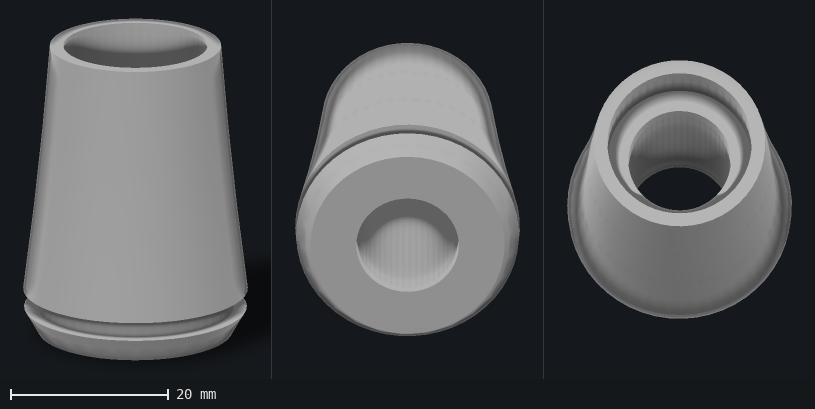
import cadquery as cq

total_height = 38.0
flange_height = 3.2
groove_height = 2.4
counterbore_depth = 9.0

body_base_diameter = 28.5
body_middle_diameter = 24.62
body_top_diameter = 21.75
groove_diameter = 25.08
flange_base_diameter = 24.62
flange_rim_diameter = 28.27
counterbore_diameter = 18.3
bore_diameter = 13.0

body_base_z = flange_height + groove_height
body_middle_z = (body_base_z + total_height) / 2
counterbore_floor_z = total_height - counterbore_depth


def revolved_sleeve():
    """Revolve the stepped wall section: conical flange, groove and hollow-curved taper."""
    section = (
        cq.Workplane("XZ")
        .moveTo(bore_diameter / 2, 0)
        .lineTo(flange_base_diameter / 2, 0)
        .lineTo(flange_rim_diameter / 2, flange_height)
        .lineTo(groove_diameter / 2, flange_height)
        .lineTo(groove_diameter / 2, body_base_z)
        .lineTo(body_base_diameter / 2, body_base_z)
        .threePointArc(
            (body_middle_diameter / 2, body_middle_z),
            (body_top_diameter / 2, total_height),
        )
        .lineTo(counterbore_diameter / 2, total_height)
        .lineTo(counterbore_diameter / 2, counterbore_floor_z)
        .lineTo(bore_diameter / 2, counterbore_floor_z)
        .close()
    )
    return section.revolve(360, (0, 0, 0), (0, 1, 0))


result = revolved_sleeve()